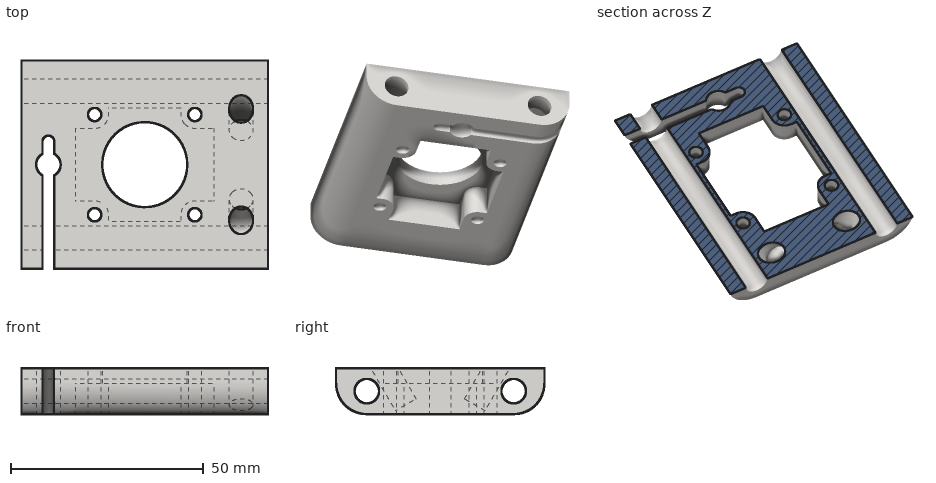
import cadquery as cq
import math

LENGTH = 64.0
HEIGHT = 12.0
EDGE_RADIUS = 8.0
BORE_SPACING = 38.1
WIDTH = BORE_SPACING + 2 * EDGE_RADIUS
BORE_DIAMETER = 6.3

OPENING_DIAMETER = 22.0
SCREW_SPACING = 26.0
SCREW_DIAMETER = 3.4
FACE_THICKNESS = 4.0
RECESS_LENGTH = 36.0
RECESS_WIDTH = 29.4
BOSS_RADIUS = 3.6

KEYHOLE_X = -25.0
KEYHOLE_DIAMETER = 6.3
SLOT_WIDTH = 3.0
SLOT_END_Y = 7.5

SLANT_X = 25.0
SLANT_TOP_Y = 14.45
SLANT_ANGLE = 30.0
SLANT_DIAMETER = 6.2
SLANT_DEPTH = 11.0

CUT_MARGIN = 10.0


def make_body():
    body = cq.Workplane("XY").box(LENGTH, WIDTH, HEIGHT, centered=(True, True, False))
    return body.edges("|X and <Z").fillet(EDGE_RADIUS)


def make_bores():
    """Two bores running the full length along X."""
    return (
        cq.Workplane("YZ", origin=(-LENGTH / 2, 0, HEIGHT / 2))
        .rarray(BORE_SPACING, 1, 2, 1)
        .circle(BORE_DIAMETER / 2)
        .extrude(LENGTH)
    )


def make_motor_holes():
    """Central opening and its four screw holes."""
    opening = cq.Workplane("XY").circle(OPENING_DIAMETER / 2).extrude(HEIGHT)
    screws = (
        cq.Workplane("XY")
        .rarray(SCREW_SPACING, SCREW_SPACING, 2, 2)
        .circle(SCREW_DIAMETER / 2)
        .extrude(HEIGHT)
    )
    return opening.union(screws)


def make_recess():
    """Recess from the underside, with a rounded boss left around each screw hole."""
    depth = HEIGHT - FACE_THICKNESS
    recess = cq.Workplane("XY").rect(RECESS_LENGTH, RECESS_WIDTH).extrude(depth)
    boss_edge = SCREW_SPACING / 2 - BOSS_RADIUS
    boss_size = RECESS_LENGTH / 2
    boss_centre_spacing = 2 * boss_edge + boss_size
    bosses = (
        cq.Workplane("XY")
        .rarray(boss_centre_spacing, boss_centre_spacing, 2, 2)
        .rect(boss_size, boss_size)
        .extrude(depth)
        .edges("|Z")
        .fillet(BOSS_RADIUS)
    )
    return recess.cut(bosses)


def make_keyhole():
    """Round hole on a slot that runs from the -Y side to a rounded end."""
    slot_length = SLOT_END_Y + WIDTH / 2 + CUT_MARGIN
    slot = (
        cq.Workplane("XY")
        .center(KEYHOLE_X, SLOT_END_Y - slot_length / 2)
        .slot2D(slot_length, SLOT_WIDTH, 90)
        .extrude(HEIGHT)
    )
    hole = cq.Workplane("XY").center(KEYHOLE_X, 0).circle(KEYHOLE_DIAMETER / 2).extrude(HEIGHT)
    return slot.union(hole)


def make_slanted_hole(side):
    """Flat-ended blind hole centred at SLANT_TOP_Y on the top face, on the +Y (1) or -Y (-1) side."""
    slant = math.radians(SLANT_ANGLE)
    direction = cq.Vector(0, -side * math.sin(slant), -math.cos(slant))
    top_centre = cq.Vector(SLANT_X, side * SLANT_TOP_Y, HEIGHT)
    start = top_centre - direction * CUT_MARGIN
    length = SLANT_DEPTH + CUT_MARGIN
    return cq.Solid.makeCylinder(SLANT_DIAMETER / 2, length, start, direction)


result = make_body()
for cutter in (make_bores(), make_motor_holes(), make_recess(), make_keyhole()):
    result = result.cut(cutter)
for side in (1, -1):
    result = result.cut(cq.Workplane(make_slanted_hole(side)))